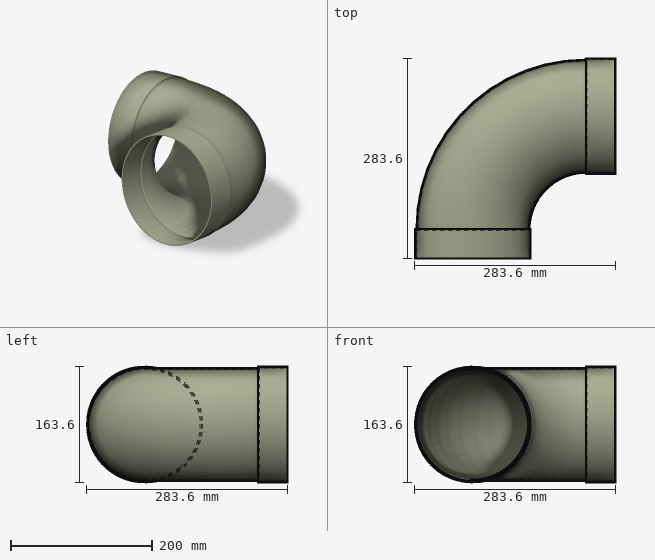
import cadquery as cq
import math


pipe_diameter = 160.0
wall = 1.8
overall_length = 283.6
bend_radius = pipe_diameter
bend_angle = 90

pipe_radius = pipe_diameter / 2
bore_radius = pipe_radius - wall
collar_radius = pipe_radius + wall
collar_length = overall_length - bend_radius - collar_radius
socket_depth = collar_length - wall

front_mouth = cq.Plane(
    origin=(-bend_radius, -collar_length, 0), xDir=(1, 0, 0), normal=(0, 1, 0)
)
side_mouth = cq.Plane(
    origin=(collar_length, bend_radius, 0), xDir=(0, 1, 0), normal=(-1, 0, 0)
)
mouths = (front_mouth, side_mouth)


def bend(radius):
    """Solid quarter torus joining the inner ends of the two collars."""
    start = cq.Plane(origin=(-bend_radius, 0, 0), xDir=(1, 0, 0), normal=(0, -1, 0))
    pivot = (bend_radius, 0)
    pivot_axis_end = (bend_radius, -1)
    return cq.Workplane(start).circle(radius).revolve(bend_angle, pivot, pivot_axis_end)


def collar(mouth):
    """Solid cylinder running inward from a mouth to the start of the bend."""
    return cq.Workplane(mouth).circle(collar_radius).extrude(collar_length)


def socket(mouth):
    """Bore of a collar, narrowing to the bend's bore round a quarter-circle lip."""
    section = cq.Plane(
        origin=mouth.origin, xDir=mouth.xDir, normal=mouth.xDir.cross(mouth.zDir)
    )
    lip_offset = wall * math.sqrt(0.5)
    lip_middle = (pipe_radius - lip_offset, collar_length - lip_offset)
    return (
        cq.Workplane(section)
        .moveTo(0, 0)
        .lineTo(pipe_radius, 0)
        .lineTo(pipe_radius, socket_depth)
        .threePointArc(lip_middle, (bore_radius, collar_length))
        .lineTo(0, collar_length)
        .close()
        .revolve(360, (0, 0), (0, 1))
    )


outside = bend(pipe_radius)
inside = bend(bore_radius)
for mouth in mouths:
    outside = outside.union(collar(mouth))
    inside = inside.union(socket(mouth))

result = outside.cut(inside)